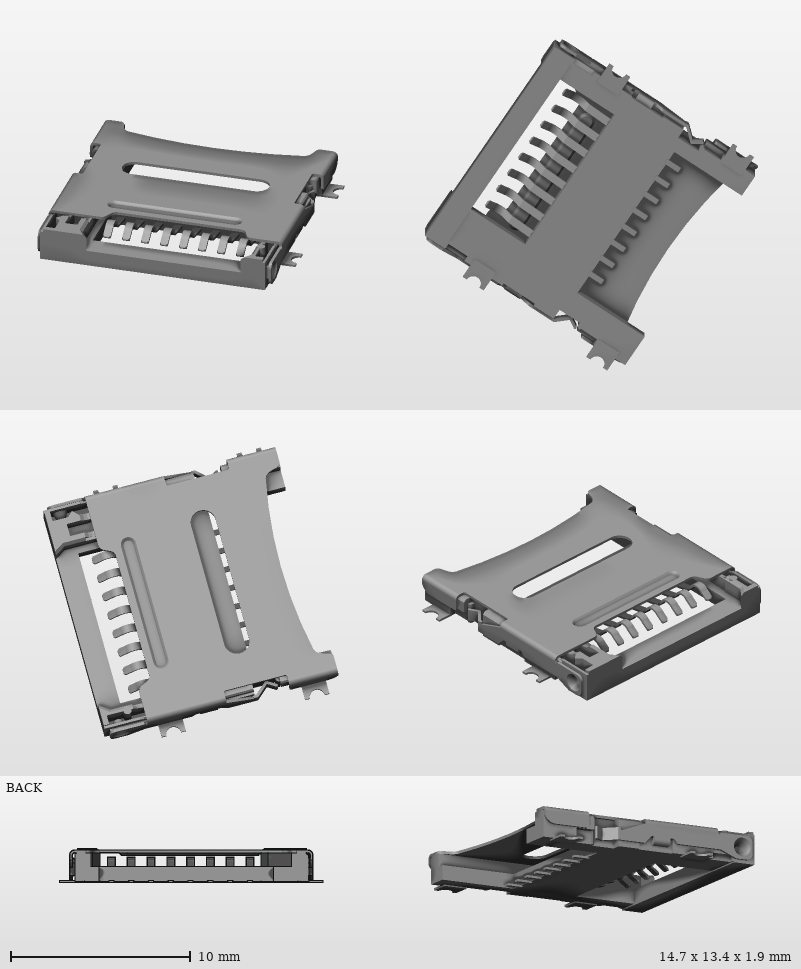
import cadquery as cq


half_length = 6.7
half_width = 7.35
total_height = 1.9
sheet = 0.16

cover_half = 6.77
cover_top = 1.82
cover_under = cover_top - sheet
bend_radius = 0.28
flat_half = cover_half - bend_radius
wall_top = cover_top - bend_radius
cover_front = -4.29
notch_rear = 3.9
notch_front = 0.26
notch_depth = cover_half - 6.13
flap_bottom = 0.84
hinge_y = -5.8
hinge_z = 0.88

base_left = -6.55
base_right = 6.48
base_bottom = 0.07
floor_top = 0.91
floor_rear = 2.19
window_left = -3.88
window_right = 5.07
window_front = -5.42
window_rear = -1.76
rail_inner = 5.58
mouth_left = -4.58
mouth_right = 5.14
post_y = -4.86
ramp_y = -4.64
lead_in = 0.16

contact_count = 8
contact_pitch = 1.1
contact_mid = 0.59
contact_width = 0.44
contact_sheet = 0.13
tab_thickness = 0.125
tab_width = 1.4
tab_positions = (5.33, -2.94)
tab_notch_radius = 0.43


def block(x0, x1, y0, y1, z0, z1):
    """Axis-aligned box between two opposite corners."""
    return cq.Workplane("XY").box(x1 - x0, y1 - y0, z1 - z0, centered=False).translate((x0, y0, z0))


def both_sides(left):
    """A left-hand feature together with its mirror image on the right."""
    return left.union(left.mirror("YZ"))


def make_post(outer_x, bar_x, inner_x):
    """Full-height hinge post with a lead-in chamfer on its card-side top edges."""
    corner_y = -6.11
    outline = [
        (outer_x, -half_length), (bar_x, -half_length),
        (inner_x, corner_y), (inner_x, post_y), (outer_x, post_y),
    ]
    height = total_height - base_bottom
    post = cq.Workplane("XY").workplane(offset=base_bottom).polyline(outline).close().extrude(height)

    card_side = cq.selectors.BoxSelector(
        (min(bar_x, inner_x) - sheet, -half_length + sheet, total_height - sheet),
        (max(bar_x, inner_x) + sheet, post_y - sheet, total_height + sheet),
    )
    return post.edges(card_side).chamfer(lead_in)


def make_base():
    """Moulded base with its floor, card window, side rails and hinge posts."""
    base = block(base_left, base_right, -half_length, floor_rear, base_bottom, floor_top)
    base = base.cut(block(window_left, window_right, window_front, window_rear, 0, floor_top))

    base = base.union(block(base_left, base_right, -half_length, window_front, 0, floor_top))

    for x0, x1 in ((base_left, mouth_left), (mouth_right, base_right)):
        base = base.union(block(x0, x1, floor_rear, half_length, base_bottom, floor_top))

    for x0, x1 in ((base_left, -rail_inner), (rail_inner, base_right)):
        base = base.union(block(x0, x1, post_y, half_length, base_bottom, cover_under))

    left_inner = -4.26
    right_inner = 5.51
    block_rear = -2.94
    base = base.union(block(base_left, left_inner, post_y, block_rear, base_bottom, cover_under))
    base = base.union(make_post(base_left, window_left, left_inner))
    base = base.union(make_post(base_right, window_right, right_inner))

    step_z = 1.72
    ramp_foot_y = -4.44
    ramp = [(post_y, cover_under), (post_y, total_height), (ramp_y, step_z), (ramp_foot_y, cover_under)]
    for x0, x1 in ((base_left, left_inner - lead_in), (right_inner + lead_in, base_right)):
        base = base.union(cq.Workplane("YZ").workplane(offset=x0).polyline(ramp).close().extrude(x1 - x0))

    skin = 0.15
    for x0, x1 in ((base_left, base_left + skin), (base_right - skin, base_right)):
        base = base.cut(block(x0, x1, -half_length, ramp_foot_y, step_z, total_height))

    left_pocket_x = -5.79
    right_pocket_x = 5.82
    pocket_front = -6.39
    pocket_rear = -3.82
    pocket_floor = 0.43
    for x0, x1 in ((base_left + skin, left_pocket_x), (right_pocket_x, base_right - skin)):
        base = base.cut(block(x0, x1, pocket_front, pocket_rear, pocket_floor, total_height))

    bump_y = -5.2
    bump_half = 0.3
    bump_radius = 0.24
    bump_height = total_height - pocket_floor
    bump_plane = cq.Workplane("XY").workplane(offset=pocket_floor)
    pointed = [
        (left_pocket_x, bump_y + bump_half),
        (left_pocket_x - bump_half, bump_y),
        (left_pocket_x, bump_y - bump_half),
    ]
    base = base.union(bump_plane.polyline(pointed).close().extrude(bump_height))
    round_bump = bump_plane.center(right_pocket_x, bump_y).circle(bump_radius).extrude(bump_height)
    base = base.union(round_bump)

    plain_left = -5.42
    plain_right = -4.7
    plain_front = -5.67
    base = base.cut(block(plain_left, plain_right, plain_front, pocket_rear, floor_top, total_height))

    rail_slope = 0.16
    slope = (
        cq.Workplane("XZ", origin=(0, half_length, 0))
        .moveTo(base_left, cover_under)
        .lineTo(base_left + rail_slope, cover_under)
        .lineTo(base_left, cover_under - rail_slope)
        .close().extrude(half_length - ramp_y)
    )
    base = base.cut(both_sides(slope))

    recess_x = 5.93
    recess_front = 1.91
    lip_y = 3.26
    lip_depth = 0.2
    lip_round = 0.19
    lip_left = -6.26
    lip_top = 1.31
    recess = block(-half_width, -recess_x, recess_front, lip_y + lip_depth, 0, total_height)
    lip = block(lip_left, -recess_x, lip_y, lip_y + lip_depth, base_bottom, lip_top)
    lip = lip.edges("|Z and <X and <Y").fillet(lip_round)
    base = base.cut(both_sides(recess)).union(both_sides(lip))

    liner_bottom = 0.59
    liner_top = 1.32
    base = base.union(
        block(base_right, cover_half - sheet, pocket_front, recess_front, liner_bottom, liner_top)
    )

    for y0, y1, set_back in ((-1.53, 0.59, 0.07), (lip_y + lip_depth, 4.6, 0.3)):
        strip = block(-half_width, set_back - base_right, y0, y1, 0, flap_bottom)
        base = base.cut(both_sides(strip))

    cove_rear = -4.05
    cove_length = 1.28
    cove_radius = 0.32
    cove_plane = cq.Workplane("XZ", origin=(base_left, cove_rear, base_bottom))
    return base.cut(both_sides(cove_plane.circle(cove_radius).extrude(cove_length)))


def make_cover_plate():
    """Flat top with the concave card mouth, finger slot and stiffening groove."""
    shoulder_x = 5.85
    mouth_x = 5.11
    mouth_y = 5.71
    shoulder_mid = ((shoulder_x + mouth_x) / 2, (half_length + mouth_y) / 2)
    mouth_mid_y = 5.2
    relief_left = -2.94
    relief_right = 4.11
    relief_y = -3.5
    relief_run = 0.9
    plate = (
        cq.Workplane("XY").workplane(offset=cover_under)
        .moveTo(-flat_half, cover_front)
        .lineTo(relief_left - relief_run, cover_front)
        .spline([(relief_left, relief_y)], tangents=[(1, 0), (1, 0)], includeCurrent=True)
        .lineTo(relief_right, relief_y)
        .spline([(relief_right + relief_run, cover_front)], tangents=[(1, 0), (1, 0)], includeCurrent=True)
        .lineTo(flat_half, cover_front)
        .lineTo(flat_half, half_length)
        .lineTo(shoulder_x, half_length)
        .spline([shoulder_mid, (mouth_x, mouth_y)], tangents=[(-1, 0), (-1, -0.4)], includeCurrent=True)
        .threePointArc((0, mouth_mid_y), (-mouth_x, mouth_y))
        .spline(
            [(-shoulder_mid[0], shoulder_mid[1]), (-shoulder_x, half_length)],
            tangents=[(-1, 0.4), (-1, 0)], includeCurrent=True,
        )
        .lineTo(-flat_half, half_length)
        .close().extrude(sheet)
    )

    slot_y = 1.7
    slot_length = 8.52
    slot_width = 1.42
    slot_plane = cq.Workplane("XY").workplane(offset=cover_under).center(0, slot_y)
    plate = plate.cut(slot_plane.slot2D(slot_length, slot_width).extrude(sheet))

    groove_mid = (0.07, -2.66)
    groove_length = 7.82
    groove_width = 0.85
    groove_depth = 0.15
    slope = 45
    bulge = 0.09

    def groove_body(top_z, margin):
        return (
            cq.Workplane("XY").workplane(offset=top_z).center(*groove_mid)
            .slot2D(groove_length + margin, groove_width + margin)
            .extrude(-groove_depth, taper=slope)
        )

    plate = plate.union(groove_body(cover_under, bulge)).cut(groove_body(cover_top, 0))

    notch_corner = 0.12
    notch = block(-cover_half, notch_depth - cover_half, notch_front, notch_rear, cover_under, cover_top)
    notch = notch.edges("|Z and >X").fillet(notch_corner)
    return plate.cut(both_sides(notch))


def make_left_wall():
    """Turned-down left edge of the cover with its hinge arm and rear flap."""
    bend = (
        cq.Workplane("XZ", origin=(0, half_length, 0))
        .moveTo(-flat_half, cover_top)
        .radiusArc((-cover_half, wall_top), -bend_radius)
        .lineTo(-cover_half, 0)
        .lineTo(sheet - cover_half, 0)
        .lineTo(sheet - cover_half, wall_top)
        .radiusArc((-flat_half, cover_under), bend_radius - sheet)
        .close().extrude(2 * half_length)
    )
    flap_corner = 0.12
    rear_flap = (
        cq.Workplane("YZ").workplane(offset=-cover_half)
        .moveTo(notch_rear, cover_top)
        .lineTo(notch_rear, flap_bottom + flap_corner)
        .radiusArc((notch_rear + flap_corner, flap_bottom), -flap_corner)
        .lineTo(6.11, flap_bottom)
        .threePointArc((6.5, 1.0), (half_length, 1.28))
        .lineTo(half_length, cover_top)
        .close().extrude(bend_radius)
    )
    arm_end = -6.45
    arm_round = 0.35
    arm_bottom = 0.18
    wall_bottom = 0.4
    latch_root = 2.04
    hook_front = -1.25
    hook_rear = -0.24
    hook_top = 0.69
    arm_z = 0.57
    main_flap = (
        cq.Workplane("YZ").workplane(offset=-cover_half)
        .moveTo(notch_front, cover_top)
        .lineTo(notch_front, wall_top)
        .lineTo(latch_root, hinge_z)
        .lineTo(latch_root, wall_bottom)
        .lineTo(0.37, wall_bottom)
        .lineTo(-0.05, flap_bottom)
        .lineTo(hook_rear, flap_bottom)
        .lineTo(hook_rear, hook_top)
        .lineTo(hook_front, hook_top)
        .lineTo(hook_front, flap_bottom)
        .lineTo(-1.5, flap_bottom)
        .lineTo(-1.7, arm_z)
        .lineTo(-4.44, arm_z)
        .lineTo(-5.42, arm_bottom)
        .lineTo(arm_end + arm_round, arm_bottom)
        .radiusArc((arm_end, arm_bottom + arm_round), arm_round)
        .lineTo(arm_end, wall_top - arm_round)
        .radiusArc((arm_end + arm_round, wall_top), arm_round)
        .lineTo(cover_front - 0.18, wall_top)
        .lineTo(cover_front - 0.09, 1.38)
        .lineTo(cover_front, wall_top)
        .lineTo(cover_front, cover_top)
        .close().extrude(bend_radius)
    )
    wall = bend.intersect(rear_flap.union(main_flap))

    hook_reach = 0.37
    hook_round = 0.26
    hook = block(-cover_half, hook_reach - cover_half, hook_front, hook_rear, wall_bottom, hook_top)
    hook = hook.edges("|Y and <X and <Z").fillet(hook_round)

    half_sheet = sheet / 2
    latch_height = 0.7
    latch = (
        cq.Workplane("XY").workplane(offset=wall_bottom)
        .moveTo(half_sheet - cover_half, latch_root - 0.15)
        .lineTo(half_sheet - cover_half, latch_root)
        .lineTo(-6.07, 2.73)
        .lineTo(-6.38, 3.23)
        .offset2D(half_sheet).extrude(latch_height)
    )
    return wall.union(hook).union(latch)


def make_left_cone(outer_radius, inner_radius, depth):
    """Cone on the left hinge axis, narrowing inwards from the cover wall."""
    hinge_plane = cq.Workplane("YZ", origin=(-cover_half, hinge_y, hinge_z))
    return hinge_plane.circle(outer_radius).workplane(offset=depth).circle(inner_radius).loft()


def make_contact(x):
    """One spring arching up from the floor, and its solder tail behind."""
    spring = (
        cq.Workplane("YZ").workplane(offset=x - contact_width / 2)
        .moveTo(window_rear + 0.3, 0.44)
        .lineTo(-2.65, 0.65)
        .lineTo(-3.16, 0.75)
        .lineTo(-3.55, 1.25)
        .threePointArc((-3.85, 1.35), (-4.29, 1.16))
        .lineTo(-4.72, 0.85)
        .offset2D(contact_sheet / 2).extrude(contact_width)
    )
    tip_y = -4.79
    tip_chamfer = 0.1
    tip_plan = block(x - contact_width / 2, x + contact_width / 2, tip_y, 0, 0, total_height)
    tip_plan = tip_plan.edges("|Z and <Y").chamfer(tip_chamfer)
    tail_half = 0.15
    tail_front = 2.07
    tail_rear = 3.0
    tail = block(x - tail_half, x + tail_half, tail_front, tail_rear, 0, tab_thickness)
    return spring.intersect(tip_plan).union(tail)


def make_solder_tab(y):
    """Left solder tab with a round notch in its outer end."""
    overlap = 0.44
    tab = block(-half_width, base_left + overlap, y - tab_width / 2, y + tab_width / 2, 0, tab_thickness)
    notch = cq.Workplane("XY").center(-half_width, y).circle(tab_notch_radius).extrude(tab_thickness)
    return tab.cut(notch)


result = make_base().union(make_cover_plate()).union(both_sides(make_left_wall()))

dome = make_left_cone(outer_radius=0.59, inner_radius=0.24, depth=0.8)
dimple = make_left_cone(outer_radius=0.53, inner_radius=0.15, depth=0.62)
result = result.union(both_sides(dome)).cut(both_sides(dimple))

for tab_y in tab_positions:
    result = result.union(both_sides(make_solder_tab(tab_y)))
for i in range(contact_count):
    offset = i - (contact_count - 1) / 2
    result = result.union(make_contact(contact_mid + offset * contact_pitch))